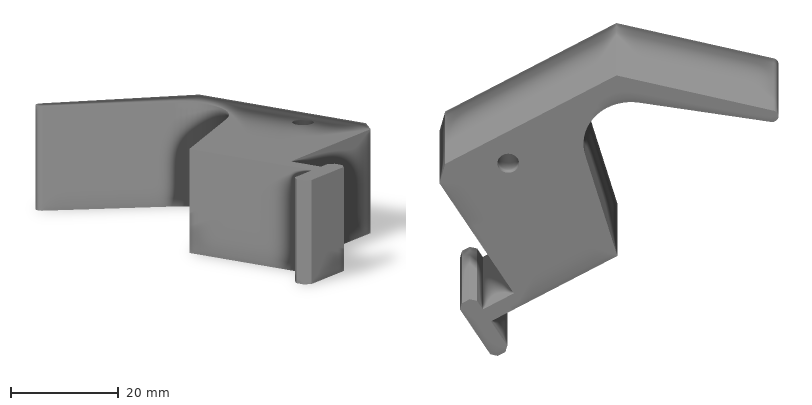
import cadquery as cq
import math

length = 71.85
depth = 40.0
thickness = 20.0

body_right = 61.5
body_height = 33.05
body_bottom = depth - body_height
body_bottom_left = 40.95
corner_chamfer = 3.0

arm_angle = math.radians(45)
tip_radius = 1.2
tip_center = (tip_radius, 17.9)

hollow_radius = 8.85
hollow_center = (26.65, 26.15)

web_thickness = 2.95
flange_width = 3.7
flange_length = 13.0
flange_chamfer = 1.0
flange_left = length - flange_width

hole_diameter = 4.0
hole_center = (48.35, 34.2)


def polar(center, radius, angle):
    """Point on a circle at the given angle in radians."""
    return (center[0] + radius * math.cos(angle), center[1] + radius * math.sin(angle))


def direction(start, end):
    """Angle in radians of the line from start to end."""
    return math.atan2(end[1] - start[1], end[0] - start[0])


def make_body():
    """Arm, hollow, body and web as one extruded outline with tangent arcs."""
    tip_upper_angle = arm_angle + math.pi / 2
    tip_upper = polar(tip_center, tip_radius, tip_upper_angle)
    top_left_x = tip_upper[0] + (depth - tip_upper[1]) / math.tan(arm_angle)

    center_distance = math.dist(tip_center, hollow_center)
    crossing_angle = math.asin((tip_radius + hollow_radius) / center_distance)
    inner_angle = direction(tip_center, hollow_center) + crossing_angle
    tip_lower_angle = inner_angle - math.pi / 2
    hollow_start_angle = inner_angle + math.pi / 2
    tip_lower = polar(tip_center, tip_radius, tip_lower_angle)
    hollow_start = polar(hollow_center, hollow_radius, hollow_start_angle)
    tip_middle_angle = (tip_upper_angle + tip_lower_angle) / 2 + math.pi
    tip_middle = polar(tip_center, tip_radius, tip_middle_angle)

    body_corner = (body_bottom_left, body_bottom)
    corner_distance = math.dist(hollow_center, body_corner)
    tangent_offset = math.acos(hollow_radius / corner_distance)
    hollow_end_angle = direction(hollow_center, body_corner) + tangent_offset
    hollow_end = polar(hollow_center, hollow_radius, hollow_end_angle)
    hollow_middle_angle = (hollow_start_angle + hollow_end_angle) / 2
    hollow_middle = polar(hollow_center, hollow_radius, hollow_middle_angle)

    web_top = body_bottom + web_thickness
    return (
        cq.Workplane("XY")
        .moveTo(top_left_x, depth)
        .lineTo(*tip_upper)
        .threePointArc(tip_middle, tip_lower)
        .lineTo(*hollow_start)
        .threePointArc(hollow_middle, hollow_end)
        .lineTo(*body_corner)
        .lineTo(flange_left, body_bottom)
        .lineTo(flange_left, web_top)
        .lineTo(body_right, web_top)
        .lineTo(body_right, depth - corner_chamfer)
        .lineTo(body_right - corner_chamfer, depth)
        .close()
        .extrude(thickness)
    )


def make_flange():
    """Upright bar at the end of the web, with its four long edges chamfered."""
    return (
        cq.Workplane("XY")
        .box(flange_width, flange_length, thickness, centered=False)
        .edges("|Z")
        .chamfer(flange_chamfer)
        .translate((flange_left, 0, 0))
    )


def make_hole():
    """Cylinder that cuts the through hole."""
    return cq.Workplane("XY").center(*hole_center).circle(hole_diameter / 2).extrude(thickness)


result = make_body().union(make_flange()).cut(make_hole())